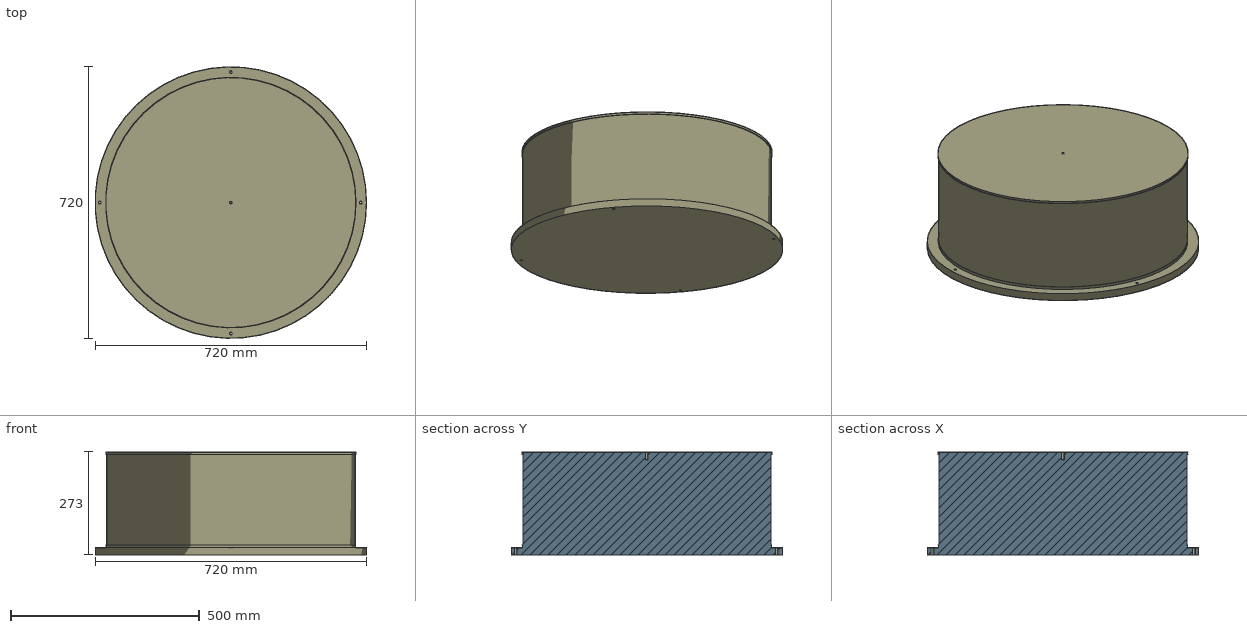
import cadquery as cq

total_height = 273.01
flange_diameter = 720.0
flange_thickness = 20.0

drum_diameter = 660.0
collar_diameter = 662.0
collar_height = 7.0
cap_diameter = 664.0
cap_thickness = 6.0

hole_diameter = 6.35
center_hole_depth = 20.0

x_pair_spacing = 692.0
x_pair_offset = -1.5
y_pair_spacing = 693.0
y_pair_offset = -0.6


def disc(diameter, bottom, top):
    """Solid disc on the Z axis between two heights."""
    return cq.Workplane("XY").workplane(offset=bottom).circle(diameter / 2).extrude(top - bottom)


def stepped_drum():
    """Flange, collar, drum wall and overhanging cap stacked on one axis."""
    collar_top = flange_thickness + collar_height
    cap_bottom = total_height - cap_thickness
    flange = disc(flange_diameter, 0, flange_thickness)
    collar = disc(collar_diameter, flange_thickness, collar_top)
    drum = disc(drum_diameter, collar_top, cap_bottom)
    cap = disc(cap_diameter, cap_bottom, total_height)
    return flange.union(collar).union(drum).union(cap)


def flange_holes():
    """Four through holes in the flange rim, two on the X axis and two on the Y axis."""
    centers = []
    for side in (-1, 1):
        centers.append((x_pair_offset + side * x_pair_spacing / 2, 0))
        centers.append((0, y_pair_offset + side * y_pair_spacing / 2))
    return cq.Workplane("XY").pushPoints(centers).circle(hole_diameter / 2).extrude(flange_thickness)


def center_hole():
    """Blind hole in the middle of the cap."""
    return disc(hole_diameter, total_height - center_hole_depth, total_height)


result = stepped_drum().cut(flange_holes()).cut(center_hole())